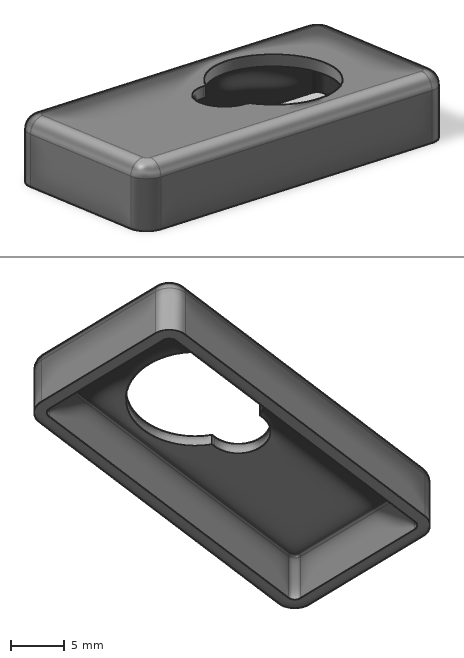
import cadquery as cq

width = 18.27
length = 37.67
height = 6.8
corner_radius = 2.0
top_fillet = 1.5

wall = 1.2
inner_corner_radius = corner_radius - wall
inner_fillet = top_fillet - wall

keyhole_x = 0.2
circle_y = 4.97
circle_radius = 6.48
slot_end_y = -1.1
slot_radius = 3.0


def rounded_block(size_x, size_y, size_z, side_radius, top_radius):
    """Block standing on Z = 0 with rounded vertical corners and top edges."""
    block = cq.Workplane("XY").box(size_x, size_y, size_z, centered=(True, True, False))
    return block.edges("|Z").fillet(side_radius).faces(">Z").edges().fillet(top_radius)


def keyhole_cutter():
    """Keyhole-shaped prism as tall as the cover."""
    circle = cq.Workplane("XY").center(keyhole_x, circle_y).circle(circle_radius).extrude(height)
    slot_end = cq.Workplane("XY").center(keyhole_x, slot_end_y).circle(slot_radius).extrude(height)
    slot_length = circle_y - slot_end_y
    slot = (
        cq.Workplane("XY")
        .center(keyhole_x, slot_end_y + slot_length / 2)
        .rect(2 * slot_radius, slot_length)
        .extrude(height)
    )
    return circle.union(slot).union(slot_end)


outer = rounded_block(width, length, height, corner_radius, top_fillet)
cavity = rounded_block(
    width - 2 * wall, length - 2 * wall, height - wall, inner_corner_radius, inner_fillet
)
result = outer.cut(cavity).cut(keyhole_cutter())